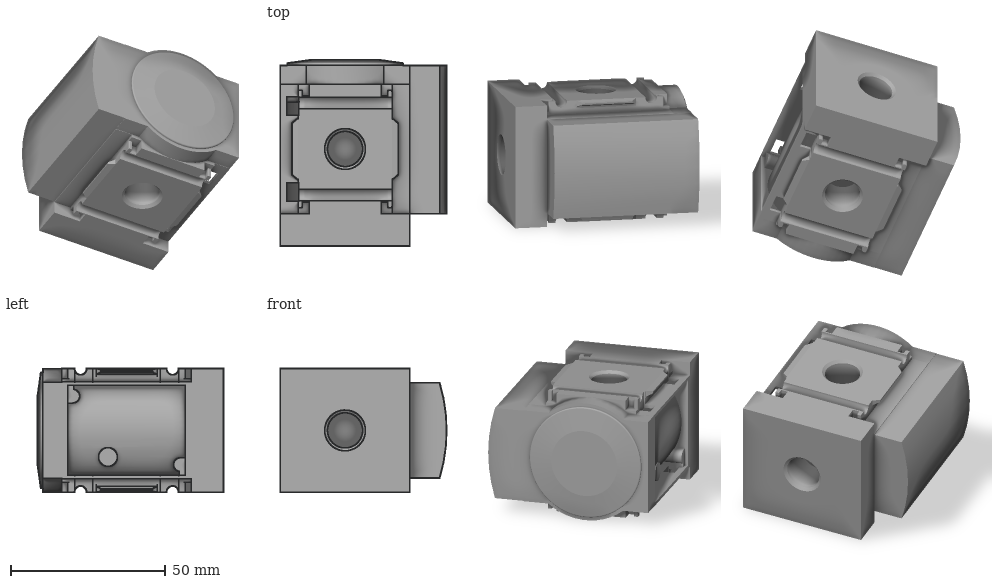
import cadquery as cq


body_width = 42.05
half_width = body_width / 2
body_height = 40.2
half_height = body_height / 2
front_block_length = 10.45
cap_length = 6.1
cap_end_y = half_width + cap_length
front_y = -half_width - front_block_length
frame_half_height = 15.7
cap_half_height = 15.6

collar_diameter = 40.1
knob_diameter = 37.6
knob_face_diameter = 22.2
knob_rim_length = 0.7
knob_crown_height = 1.1
knob_edge_radius = 0.4

cover_half_height = 15.45
cover_flat_length = 9.65
cover_bulge = 2.3

barrel_diameter = 37.6
window_length = 38.05
window_height = 29.25
window_depth = 10.25
button_diameter = 6.1
button_y = 6.05
button_z = -8.65
button_face_x = -18.25
hook_diameter = 4.45
hook_y = 17.45
hook_z = 11.1
hook_step = 0.35
hook_face_x = -19.95

pad_half_width = 15.2
groove_diameter = 3.8
groove_depth = 2.05
groove_y = 14.9
slot_length = 6.0
slot_y = 13.9
slot_outer_x = -18.85
slot_inner_x = -15.0
pocket_width = 3.55
pocket_length = 3.8
pocket_floor_z = 16.8
tooth_width = 1.3
tooth_length = 1.9
tooth_corner_radius = 0.35

lip_reach = 2.05
lip_half_length = 9.9
lip_tip_half_length = 8.35
lip_foot = 0.2
lip_undercut = 0.2
lip_bottom_z = 17.6
lip_foot_z = 18.2
lip_tip_bottom_z = 18.85
lip_nose_bottom_z = 19.3
lip_nose_top_z = 19.7

port_diameter = 11.4
port_chamfer = 0.9
port_depth = 12.1


def box(x_range, y_range, z_range):
    """Box between the given limits on each axis."""
    spans = [(min(limits), max(limits)) for limits in (x_range, y_range, z_range)]
    sizes = [high - low for low, high in spans]
    corner = tuple(low for low, high in spans)
    return cq.Workplane("XY").box(*sizes, centered=False).translate(corner)


def rod_y(diameter, y_start, y_end):
    """Cylinder on the Y axis."""
    plane = cq.Workplane("XZ", origin=(0, y_start, 0))
    return plane.circle(diameter / 2).extrude(y_start - y_end)


def make_housing():
    front_block = box((-half_width, half_width), (front_y, -half_width), (-half_height, half_height))
    frame = box(
        (-half_width, half_width), (-half_width, half_width), (-frame_half_height, frame_half_height)
    )
    cap = box(
        (-half_width, half_width), (half_width, cap_end_y), (-cap_half_height, cap_half_height)
    )
    collar = rod_y(collar_diameter, half_width, cap_end_y)
    return front_block.union(frame).union(cap).union(collar)


def make_knob():
    rim_y = cap_end_y + knob_rim_length
    profile = (
        cq.Workplane("XY")
        .moveTo(0, half_width)
        .lineTo(knob_diameter / 2, half_width)
        .lineTo(knob_diameter / 2, rim_y)
        .lineTo(knob_face_diameter / 2, rim_y + knob_crown_height)
        .lineTo(0, rim_y + knob_crown_height)
        .close()
    )
    knob = profile.revolve(360, (0, 0, 0), (0, 1, 0))
    rim_edge = cq.selectors.BoxSelector(
        (-knob_diameter, rim_y - knob_edge_radius, -knob_diameter),
        (knob_diameter, rim_y + knob_edge_radius, knob_diameter),
    )
    return knob.edges("%CIRCLE").edges(rim_edge).fillet(knob_edge_radius)


def make_side_cover():
    flat_end_x = half_width + cover_flat_length
    profile = (
        cq.Workplane("XZ", origin=(0, cap_end_y, 0))
        .moveTo(half_width, -cover_half_height)
        .lineTo(flat_end_x, -cover_half_height)
        .threePointArc((flat_end_x + cover_bulge, 0), (flat_end_x, cover_half_height))
        .lineTo(half_width, cover_half_height)
        .close()
    )
    return profile.extrude(cap_end_y + half_width)


def make_window():
    """Opening in the -X side, cut around the barrel."""
    opening = box(
        (-half_width, -half_width + window_depth),
        (-window_length / 2, window_length / 2),
        (-window_height / 2, window_height / 2),
    )
    return opening.cut(rod_y(barrel_diameter, -half_width, half_width))


def make_button():
    plane = cq.Workplane("YZ", origin=(button_face_x, button_y, button_z))
    return plane.circle(button_diameter / 2).extrude(-button_face_x)


def make_hook():
    """Hooked stop in the upper rear corner of the window."""
    wall_y = window_length / 2
    ceiling_z = window_height / 2
    nose = (
        cq.Workplane("YZ", origin=(hook_face_x, hook_y, hook_z))
        .circle(hook_diameter / 2)
        .extrude(-hook_face_x)
    )
    foot = box((hook_face_x, 0), (hook_y, wall_y), (hook_z - hook_diameter / 2, ceiling_z))
    shank = box((hook_face_x, 0), (hook_y - hook_step, wall_y), (hook_z, ceiling_z))
    return nose.union(foot).union(shank)


def make_corner_pocket():
    """Pocket in the (-X, +Y) corner of the pad, leaving a small tooth standing."""
    inner_y = half_width - pocket_length
    height_range = (pocket_floor_z, half_height)
    pocket = box(
        (-pad_half_width, -pad_half_width + pocket_width), (inner_y, half_width), height_range
    )
    tooth = box(
        (-pad_half_width, -pad_half_width + tooth_width),
        (inner_y, inner_y + tooth_length),
        height_range,
    )
    tooth = tooth.edges("|Z and >Y").fillet(tooth_corner_radius)
    return pocket.cut(tooth)


def make_lip():
    """Tapered lip on the -X flank of the pad."""
    foot_x = -pad_half_width - lip_foot
    tip_x = -pad_half_width - lip_reach
    profile = [
        (-pad_half_width, lip_bottom_z),
        (foot_x, lip_foot_z),
        (tip_x + lip_undercut, lip_tip_bottom_z),
        (tip_x, lip_nose_bottom_z),
        (tip_x, lip_nose_top_z),
        (-pad_half_width, half_height),
    ]
    outline = [
        (-pad_half_width, -lip_half_length),
        (foot_x, -lip_half_length),
        (tip_x, -lip_tip_half_length),
        (tip_x, lip_tip_half_length),
        (foot_x, lip_half_length),
        (-pad_half_width, lip_half_length),
    ]
    bar = cq.Workplane("XZ").polyline(profile).close().extrude(lip_half_length, both=True)
    plate = cq.Workplane("XY").polyline(outline).close().extrude(half_height)
    return bar.intersect(plate)


def make_groove():
    """Round groove across the pad."""
    radius = groove_diameter / 2
    centre_z = half_height - groove_depth + radius
    plane = cq.Workplane("YZ", origin=(-pad_half_width, groove_y, centre_z))
    return plane.circle(radius).extrude(2 * pad_half_width)


def make_pad():
    """Top connection pad with its grooves, corner pockets and lips."""
    pad = box(
        (-pad_half_width, pad_half_width), (-half_width, half_width), (frame_half_height, half_height)
    )
    groove = make_groove()
    pad = pad.cut(groove).cut(groove.mirror("XZ"))
    pocket = make_corner_pocket()
    for corner in (pocket, pocket.mirror("XZ")):
        pad = pad.cut(corner).cut(corner.mirror("YZ"))
    lip = make_lip()
    return pad.union(lip).union(lip.mirror("YZ"))


def make_slot():
    """Slot through the upper plate, open to the window."""
    return box(
        (slot_outer_x, slot_inner_x),
        (slot_y - slot_length / 2, slot_y + slot_length / 2),
        (window_height / 2, half_height),
    )


def make_port():
    """Blind port pointing down from the origin, with a chamfered mouth."""
    radius = port_diameter / 2
    profile = [
        (0, 0),
        (radius + port_chamfer, 0),
        (radius, -port_chamfer),
        (radius, -port_depth),
        (0, -port_depth),
    ]
    return cq.Workplane("XZ").polyline(profile).close().revolve(360, (0, 0, 0), (0, 1, 0))


result = make_housing().union(make_knob()).union(make_side_cover())

result = result.cut(make_window()).union(make_button())
hook = make_hook()
opposite_hook = hook.rotate((0, 0, 0), (1, 0, 0), 180)
result = result.union(hook).union(opposite_hook)

pad = make_pad()
result = result.union(pad).union(pad.mirror("XY"))
slot = make_slot()
for side_slot in (slot, slot.mirror("XZ")):
    result = result.cut(side_slot).cut(side_slot.mirror("XY"))

port = make_port()
top_port = port.translate((0, 0, half_height))
front_port = port.rotate((0, 0, 0), (1, 0, 0), 90).translate((0, front_y, 0))
for opening in (top_port, top_port.mirror("XY"), front_port):
    result = result.cut(opening)